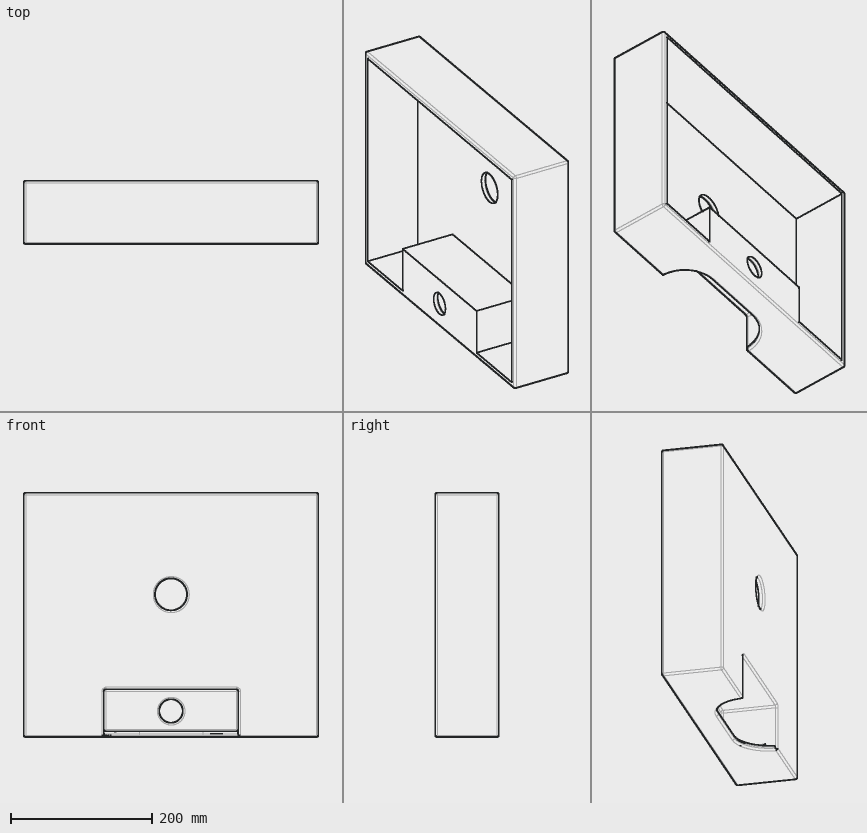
import cadquery as cq

width = 417.0
depth = 90.0
height = 346.0
wall = 8.0
edge_radius = 3.0
front_y = -depth / 2
back_y = depth / 2

recess_width = 190.0
recess_depth = depth - wall
recess_top = 68.0
sill_height = wall
recess_back_y = front_y + recess_depth

scoop_depth = 50.0
scoop_radius = 50.0
scoop_back_y = front_y + scoop_depth

main_hole_diameter = 45.0
main_hole_z = 202.0
recess_hole_diameter = 33.0
recess_hole_z = 37.0

clearance = 5.0


def block(size_x, y_start, y_end, z_start, z_end):
    """Box centred on X between the given Y and Z limits."""
    box = cq.Workplane("XY").box(size_x, y_end - y_start, z_end - z_start, centered=(True, False, False))
    return box.translate((0, y_start, z_start))


def make_shell():
    """Rounded box, hollow from the back, with material left around the recess."""
    outer = block(width, front_y, back_y, 0, height).edges().fillet(edge_radius)
    cavity = block(width - 2 * wall, front_y + wall, back_y, wall, height - wall)
    recess_housing = block(recess_width + 2 * wall, front_y, back_y, 0, recess_top + wall)
    return outer.cut(cavity.cut(recess_housing))


def make_recess():
    """Cutter for the recess, rounded everywhere except at its open front."""
    recess = block(recess_width, front_y, recess_back_y, sill_height, recess_top)
    return recess.edges("not(<Y)").fillet(edge_radius)


def make_recess_rim():
    """Cutter that rounds the sides and top of the opening where it breaks the front face."""
    channel = block(recess_width, front_y, recess_back_y, -clearance, recess_top)
    channel = channel.edges("|Y and >Z").fillet(edge_radius)
    front_plate = block(width, front_y - clearance, front_y, -clearance, height)
    flared = front_plate.union(channel)
    flared = flared.faces("<Y[1]").edges("not(<Z or >Z or <X or >X)").fillet(edge_radius)
    return flared.intersect(block(width, front_y, front_y + edge_radius, -clearance, height))


def make_scoop_prism(margin, z_start, z_end):
    """Scoop outline grown by a margin, run out past the front face and extruded in Z."""
    size_x = recess_width + 2 * margin
    prism = block(size_x, front_y - clearance, scoop_back_y + margin, z_start, z_end)
    return prism.edges("|Z and >Y").fillet(scoop_radius + margin)


def make_lower_scoop():
    """Lower half of the scoop cutter, flaring out to a rounded lip at the bottom face."""
    prism = make_scoop_prism(0, 0, sill_height / 2)
    plate = block(width, front_y - 2 * clearance, back_y, -clearance, 0)
    flared = prism.union(plate)
    return flared.faces("<Z[1]").edges("not(<X or >X or <Y or >Y)").fillet(edge_radius)


def make_upper_scoop():
    """Upper half of the scoop cutter, flaring out to a rounded lip at the sill's top.

    Its flare stops at the side walls of the recess and clears the rounded foot of those walls.
    """
    prism = make_scoop_prism(0, sill_height / 2, sill_height)
    plate = block(width, front_y - 2 * clearance, back_y, sill_height, sill_height + clearance)
    flared = prism.union(plate)
    flared = flared.faces(">Z[1]").edges("not(<X or >X or <Y or >Y)").fillet(edge_radius)
    flare_outline = make_scoop_prism(edge_radius, 0, sill_height + edge_radius)
    between_walls = block(recess_width, front_y - clearance, back_y, 0, height)
    return flared.intersect(flare_outline).intersect(between_walls)


def make_hole(diameter, z, entry_y):
    """Cutter for a hole running to +Y from a face at entry_y, with a rounded entry edge."""
    radius = diameter / 2
    profile = (
        cq.Workplane("XY")
        .moveTo(0, entry_y)
        .lineTo(radius + edge_radius, entry_y)
        .radiusArc((radius, entry_y + edge_radius), edge_radius)
        .lineTo(radius, entry_y + wall)
        .lineTo(0, entry_y + wall)
        .close()
    )
    return profile.revolve(360, (0, 0, 0), (0, 1, 0)).translate((0, 0, z))


body = make_shell().cut(make_recess())
body = body.cut(make_lower_scoop()).cut(make_upper_scoop())
body = body.cut(make_recess_rim())
body = body.cut(make_hole(main_hole_diameter, main_hole_z, front_y))
result = body.cut(make_hole(recess_hole_diameter, recess_hole_z, recess_back_y))